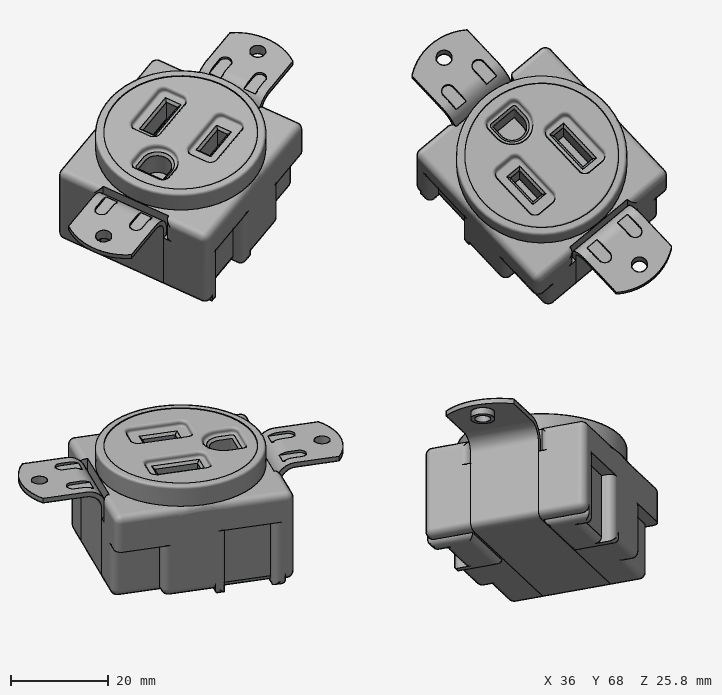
import cadquery as cq
import math

HOUSING_X = 36.0
HOUSING_Y = 38.0
HOUSING_BASE_Z = 1.2
HOUSING_TOP_Z = 21.3
OVERALL_TOP_Z = 25.8
EDGE_R = 1.5
HALF_X = HOUSING_X / 2
HALF_Y = HOUSING_Y / 2

COLLAR_R = 17.4
COLLAR_RIM_R = 0.55
FACE_SEAT_Z = 19.0
FACE_SEAT_R = 15.7
FACE_EDGE_R = 0.3

SIDE_RECESS_DEPTH = 2.7
END_RECESS_TOP_Z = 13.2
END_RECESS_WALL_Y = 9.0
TERMINAL_RECESS_TOP_Z = 14.95
TERMINAL_RECESS_Y = (-14.6, -4.4)

FOOT_Y = (-17.0, -2.1)
FOOT_INNER_X = 7.95
FOOT_EDGE_R = 1.35
FOOT_ROOT_Z = 4.1

STRAP_W = 15.1
STRAP_T = 1.1
STRAP_LENGTH = 68.0
EAR_TOP_Z = HOUSING_TOP_Z + STRAP_T
EAR_BEND_R = 3.2
EAR_TIP_SAG = 2.5
EAR_HOLE_Y = 30.05
EAR_HOLE_D = 3.25
EMBOSS_W = 2.7
EMBOSS_DEPTH = 0.55
EMBOSS_X = 4.15
EMBOSS_TIP_Y = 25.4
EAR_BOSS_D = 4.9
EAR_BOSS_H = 1.4

STRAP_NOTCH_HALF_W = 7.8
STRAP_NOTCH_BOTTOM_Z = 15.85

POCKET_DEPTH = 1.2
POCKET_FLOOR_Z = OVERALL_TOP_Z - POCKET_DEPTH
POCKET_RIM_R = 0.6
POCKET_FLOOR_R = 0.5
LEAD_IN = 0.55
LEAD_IN_ANGLE = 45
BLADE_POCKET_X = 6.8
BLADE_POCKET_Y = 2.6
BLADE_POCKET_W = 6.4
BLADE_POCKET_L = 12.85
POCKET_CORNER_R = 1.4
BLADE_Y = 2.45
BLADE_X = 6.4
NEUTRAL_LEAD_IN_W = 3.75
NEUTRAL_LEAD_IN_L = 10.1
LINE_LEAD_IN_W = 3.55
LINE_LEAD_IN_L = 8.0
GROUND_ARC_Y = -9.1
GROUND_POCKET_R = 4.2
GROUND_POCKET_BOTTOM_Y = -13.05
GROUND_LEAD_IN_R = 3.5
GROUND_LEAD_IN_BOTTOM_Y = -12.3
GROUND_LEAD_IN_CORNER_R = 0.6


def box_between(x, y, z):
    """Box spanning the (low, high) pairs x, y and z."""
    return cq.Workplane("XY").box(
        x[1] - x[0], y[1] - y[0], z[1] - z[0], centered=False
    ).translate((x[0], y[0], z[0]))


def both_sides(body, plane):
    """The body together with its mirror image."""
    return body.union(body.mirror(plane))


def convex_arc_middle(center_x, center_y, sign_x, sign_y):
    """Middle point of a quarter arc of the edge radius."""
    reach = EDGE_R * math.sqrt(0.5)
    return center_x + sign_x * reach, center_y + sign_y * reach


def end_recess():
    """Recess in the -X side, open at the +Y end, with a rounded entry edge."""
    mouth_y = END_RECESS_WALL_Y - EDGE_R
    floor_x = -HALF_X + SIDE_RECESS_DEPTH
    return (
        cq.Workplane("XY")
        .moveTo(-HALF_X, mouth_y)
        .threePointArc(
            convex_arc_middle(-HALF_X + EDGE_R, mouth_y, -1, 1),
            (-HALF_X + EDGE_R, END_RECESS_WALL_Y),
        )
        .lineTo(floor_x, END_RECESS_WALL_Y)
        .lineTo(floor_x, HALF_Y)
        .lineTo(-HALF_X, HALF_Y)
        .close()
        .extrude(END_RECESS_TOP_Z)
    )


def terminal_recess():
    """Recess in the -X side, open downward, with both entry edges rounded."""
    low_y, high_y = TERMINAL_RECESS_Y
    entry_x = -HALF_X + EDGE_R
    floor_x = -HALF_X + SIDE_RECESS_DEPTH
    return (
        cq.Workplane("XY")
        .moveTo(-HALF_X, low_y - EDGE_R)
        .threePointArc(convex_arc_middle(entry_x, low_y - EDGE_R, -1, 1), (entry_x, low_y))
        .lineTo(floor_x, low_y)
        .lineTo(floor_x, high_y)
        .lineTo(entry_x, high_y)
        .threePointArc(
            convex_arc_middle(entry_x, high_y + EDGE_R, -1, -1), (-HALF_X, high_y + EDGE_R)
        )
        .close()
        .extrude(TERMINAL_RECESS_TOP_Z)
    )


def upper_housing():
    """Full-width upper part with the collar; its rounded top edge ends at the collar."""
    body = box_between(
        (-HALF_X, HALF_X), (-HALF_Y, HALF_Y), (END_RECESS_TOP_Z, HOUSING_TOP_Z)
    ).edges("|Z").fillet(EDGE_R)
    collar = (
        cq.Workplane("XY")
        .workplane(offset=HOUSING_TOP_Z)
        .circle(COLLAR_R)
        .extrude(OVERALL_TOP_Z - HOUSING_TOP_Z)
        .faces(">Z").edges().fillet(COLLAR_RIM_R)
    )
    body = body.union(collar)
    shoulder = body.faces("|Z").faces(">Z[-2]").val()
    return body.newObject(shoulder.outerWire().Edges()).fillet(EDGE_R)


def lower_housing():
    """Lower part, narrowed by the end recesses and rounded along its underside."""
    return (
        box_between((-HALF_X, HALF_X), (-HALF_Y, HALF_Y), (HOUSING_BASE_Z, END_RECESS_TOP_Z))
        .cut(both_sides(end_recess(), "YZ"))
        .edges("|Z and (<Y or >Y)").fillet(EDGE_R)
        .faces("<Z").edges().fillet(EDGE_R)
    )


def foot():
    """Foot on the -X side, rounded along its underside, with the terminal recess through it."""
    block = (
        box_between((-HALF_X, -FOOT_INNER_X), FOOT_Y, (0, FOOT_ROOT_Z))
        .faces("<Z").edges().fillet(FOOT_EDGE_R)
        .cut(terminal_recess())
    )
    recess_floor_edge = cq.selectors.NearestToPointSelector(
        (-HALF_X + SIDE_RECESS_DEPTH, sum(TERMINAL_RECESS_Y) / 2, 0)
    )
    return block.faces("<Z").edges(recess_floor_edge).fillet(FOOT_EDGE_R)


def strap_notch():
    """Notch at the top of the -Y side whose sides flare outward in quarter arcs."""
    back_y = -HALF_Y + EDGE_R
    mouth_x = STRAP_NOTCH_HALF_W + EDGE_R
    return (
        cq.Workplane("XY")
        .workplane(offset=STRAP_NOTCH_BOTTOM_Z)
        .moveTo(-mouth_x, -HALF_Y)
        .threePointArc(
            convex_arc_middle(-mouth_x, back_y, 1, -1), (-STRAP_NOTCH_HALF_W, back_y)
        )
        .lineTo(STRAP_NOTCH_HALF_W, back_y)
        .threePointArc(convex_arc_middle(mouth_x, back_y, -1, -1), (mouth_x, -HALF_Y))
        .close()
        .extrude(HOUSING_TOP_Z - STRAP_NOTCH_BOTTOM_Z)
    )


def face_seat():
    """Bore for the face disc, through the collar and into the housing block."""
    return (
        cq.Workplane("XY")
        .workplane(offset=FACE_SEAT_Z)
        .circle(FACE_SEAT_R)
        .extrude(OVERALL_TOP_Z - FACE_SEAT_Z)
    )


def make_housing(strap):
    body = upper_housing().union(lower_housing())
    body = body.cut(both_sides(terminal_recess(), "YZ"))
    body = body.union(foot()).union(foot().mirror("YZ"))
    body = body.cut(both_sides(strap_notch(), "XZ"))
    return body.cut(face_seat()).cut(strap)


def strap_band():
    """U-shaped band under the housing whose two ends bend outward into ears."""
    tip_y = STRAP_LENGTH / 2
    inner_y = HALF_Y - STRAP_T
    floor_z = HOUSING_BASE_Z + STRAP_T
    outline = [
        (-tip_y, EAR_TOP_Z),
        (-inner_y, EAR_TOP_Z),
        (-inner_y, floor_z),
        (inner_y, floor_z),
        (inner_y, EAR_TOP_Z),
        (tip_y, EAR_TOP_Z),
        (tip_y, HOUSING_TOP_Z),
        (HALF_Y, HOUSING_TOP_Z),
        (HALF_Y, HOUSING_BASE_Z),
        (-HALF_Y, HOUSING_BASE_Z),
        (-HALF_Y, HOUSING_TOP_Z),
        (-tip_y, HOUSING_TOP_Z),
    ]
    band = cq.Workplane("YZ").polyline(outline).close().extrude(STRAP_W / 2, both=True)
    bends = [
        (inner_y, EAR_TOP_Z, EAR_BEND_R + STRAP_T),
        (HALF_Y, HOUSING_TOP_Z, EAR_BEND_R),
        (HALF_Y, HOUSING_BASE_Z, EDGE_R),
        (inner_y, floor_z, EDGE_R - STRAP_T),
    ]
    for bend_y, bend_z, radius in bends:
        for side in (-1, 1):
            corner = cq.selectors.NearestToPointSelector((0, side * bend_y, bend_z))
            band = band.edges("|X").edges(corner).fillet(radius)
    return band


def strap_outline():
    """Plan of the strap, with an arc at each tip, as a tall prism."""
    half_w = STRAP_W / 2
    tip_y = STRAP_LENGTH / 2
    corner_y = tip_y - EAR_TIP_SAG
    return (
        cq.Workplane("XY")
        .moveTo(-half_w, -corner_y)
        .threePointArc((0, -tip_y), (half_w, -corner_y))
        .lineTo(half_w, corner_y)
        .threePointArc((0, tip_y), (-half_w, corner_y))
        .close()
        .extrude(EAR_TOP_Z)
    )


def ear_embossings():
    """Flat-bottomed, round-ended depressions across the bends of both ears."""
    inner_y = HALF_Y - STRAP_T
    length = EMBOSS_TIP_Y - inner_y
    center_y = EMBOSS_TIP_Y - EMBOSS_W / 2
    cutter = cq.Workplane("XY").workplane(offset=EAR_TOP_Z - EMBOSS_DEPTH)
    round_ends = cutter.pushPoints(
        [(x, y) for x in (-EMBOSS_X, EMBOSS_X) for y in (-center_y, center_y)]
    ).circle(EMBOSS_W / 2).extrude(EMBOSS_DEPTH)
    straight_y = inner_y + (length - EMBOSS_W / 2) / 2
    straights = cutter.pushPoints(
        [(x, y) for x in (-EMBOSS_X, EMBOSS_X) for y in (-straight_y, straight_y)]
    ).rect(EMBOSS_W, length - EMBOSS_W / 2).extrude(EMBOSS_DEPTH)
    return round_ends.union(straights)


def make_strap():
    ears = cq.Workplane("XY").pushPoints([(0, -EAR_HOLE_Y), (0, EAR_HOLE_Y)])
    holes = ears.circle(EAR_HOLE_D / 2).extrude(EAR_TOP_Z)
    bosses = ears.circle(EAR_BOSS_D / 2).extrude(EAR_BOSS_H)
    bosses = bosses.translate((0, 0, HOUSING_TOP_Z - EAR_BOSS_H))
    plate = strap_band().intersect(strap_outline()).cut(ear_embossings())
    return plate.union(bosses).cut(holes)


def ground_plan(plane_z, radius, bottom_y):
    """Plan of the ground opening: round toward +Y, straight across the bottom."""
    return (
        cq.Workplane("XY")
        .workplane(offset=plane_z)
        .moveTo(-radius, bottom_y)
        .lineTo(radius, bottom_y)
        .lineTo(radius, GROUND_ARC_Y)
        .threePointArc((0, GROUND_ARC_Y + radius), (-radius, GROUND_ARC_Y))
        .close()
    )


def blade_pocket(center_x):
    """Finger pocket around a blade slot, with a rounded floor edge."""
    return (
        cq.Workplane("XY")
        .workplane(offset=POCKET_FLOOR_Z)
        .center(center_x, BLADE_POCKET_Y)
        .rect(BLADE_POCKET_W, BLADE_POCKET_L)
        .extrude(POCKET_DEPTH)
        .edges("|Z").fillet(POCKET_CORNER_R)
        .faces("<Z").edges().fillet(POCKET_FLOOR_R)
    )


def ground_pocket():
    """Pocket around the ground opening, with a rounded floor edge."""
    return (
        ground_plan(POCKET_FLOOR_Z, GROUND_POCKET_R, GROUND_POCKET_BOTTOM_Y)
        .extrude(POCKET_DEPTH)
        .edges("|Z and <Y").fillet(POCKET_CORNER_R)
        .faces("<Z").edges().fillet(POCKET_FLOOR_R)
    )


def blade_opening(center_x, lead_in_w, lead_in_l):
    """Blade slot through the disc, with a sloped lead-in from the pocket floor."""
    lead_in = (
        cq.Workplane("XY")
        .workplane(offset=POCKET_FLOOR_Z)
        .center(center_x, BLADE_Y)
        .rect(lead_in_w, lead_in_l)
        .extrude(-LEAD_IN, taper=LEAD_IN_ANGLE)
    )
    slot = (
        cq.Workplane("XY")
        .workplane(offset=FACE_SEAT_Z)
        .center(center_x, BLADE_Y)
        .rect(lead_in_w - 2 * LEAD_IN, lead_in_l - 2 * LEAD_IN)
        .extrude(POCKET_FLOOR_Z - FACE_SEAT_Z)
    )
    return slot.union(lead_in)


def ground_opening():
    """Ground hole through the disc, with a sloped lead-in from the pocket floor."""
    lead_in_mouth = (
        ground_plan(POCKET_FLOOR_Z, GROUND_LEAD_IN_R, GROUND_LEAD_IN_BOTTOM_Y)
        .extrude(-LEAD_IN)
        .edges("|Z and <Y").fillet(GROUND_LEAD_IN_CORNER_R)
        .faces(">Z").wires().val()
    )
    hole_plan = lead_in_mouth.offset2D(-LEAD_IN)[0]
    lead_in_foot = hole_plan.translate(cq.Vector(0, 0, -LEAD_IN))
    lead_in = cq.Solid.makeLoft([lead_in_foot, lead_in_mouth], True)
    hole = cq.Solid.extrudeLinear(hole_plan, [], cq.Vector(0, 0, FACE_SEAT_Z - POCKET_FLOOR_Z))
    return cq.Workplane(obj=hole).union(cq.Workplane(obj=lead_in))


def make_face():
    disc = face_seat()
    for center_x in (-BLADE_POCKET_X, BLADE_POCKET_X):
        disc = disc.cut(blade_pocket(center_x))
    disc = disc.cut(ground_pocket())
    top_face = disc.faces(">Z").val()
    rims = [edge for wire in top_face.innerWires() for edge in wire.Edges()]
    disc = disc.newObject(rims).fillet(POCKET_RIM_R)
    disc = disc.newObject(disc.faces(">Z").val().outerWire().Edges()).fillet(FACE_EDGE_R)
    disc = disc.cut(blade_opening(-BLADE_X, NEUTRAL_LEAD_IN_W, NEUTRAL_LEAD_IN_L))
    disc = disc.cut(blade_opening(BLADE_X, LINE_LEAD_IN_W, LINE_LEAD_IN_L))
    return disc.cut(ground_opening())


strap = make_strap()
housing = make_housing(strap)
face = make_face()

result = cq.Compound.makeCompound([housing.val(), strap.val(), face.val()])